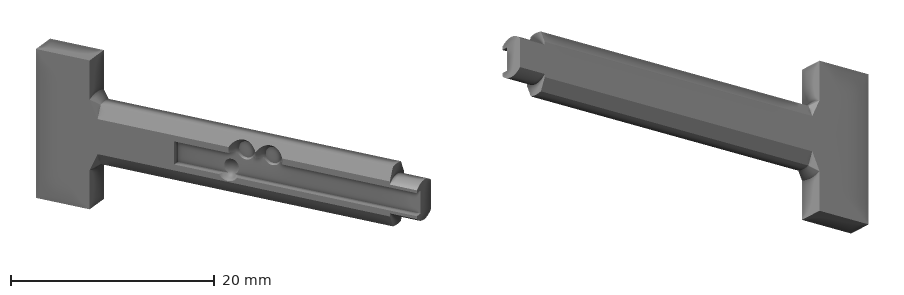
import cadquery as cq

total_length = 42.55
thickness = 2.95
head_height = 15.9
head_length = 6.0

shaft_radius = 3.28
flat_half_height = 1.87
slope_depth = 0.65

flare_length = 0.9
flare_height = 0.75
root_slope_depth = 0.01

spigot_length = 3.02
spigot_radius = 2.13

groove_start = 15.45
groove_half_height = 1.25
groove_depth = 0.75

recess_start = 23.05
recess_spacing = 3.0
recess_count = 2
recess_z = 1.58
recess_mouth_radius = 1.55
recess_floor_radius = 0.85
recess_depth = 1.0

dimple_x = 21.45
dimple_z = -0.5
dimple_radius = 1.28
dimple_lift = 0.2

half_thickness = thickness / 2
shoulder_x = total_length - spigot_length
flare_end_x = head_length + flare_length
slope_y = half_thickness - slope_depth


def height_on_circle(radius, y):
    return (radius**2 - y**2) ** 0.5


def shaft_section(x, crown_radius, flat_z, corner_y):
    """Closed outline at x: flat sides up to flat_z, slopes in to corner_y, round crowns."""
    corner_z = height_on_circle(crown_radius, corner_y)
    return (
        cq.Workplane("YZ", origin=(x, 0, 0))
        .moveTo(-half_thickness, -flat_z)
        .lineTo(-half_thickness, flat_z)
        .lineTo(-corner_y, corner_z)
        .threePointArc((0, crown_radius), (corner_y, corner_z))
        .lineTo(half_thickness, flat_z)
        .lineTo(half_thickness, -flat_z)
        .lineTo(corner_y, -corner_z)
        .threePointArc((0, -crown_radius), (-corner_y, -corner_z))
        .close()
    )


def make_head():
    return cq.Workplane("XY").box(head_length, thickness, head_height, centered=(False, True, True))


def make_shaft():
    section = shaft_section(flare_end_x, shaft_radius, flat_half_height, slope_y)
    return section.extrude(shoulder_x - flare_end_x)


def make_flare():
    """Ruled blend whose corner slopes vanish where it meets the head."""
    root_radius = shaft_radius + flare_height
    root_corner_y = half_thickness - root_slope_depth
    root_flat_z = height_on_circle(root_radius, half_thickness)
    root = shaft_section(head_length, root_radius, root_flat_z, root_corner_y)
    tip = shaft_section(flare_end_x, shaft_radius, flat_half_height, slope_y)
    return cq.Workplane(
        obj=cq.Solid.makeLoft([root.wire().val(), tip.wire().val()], True)
    )


def make_spigot():
    round_bar = (
        cq.Workplane("YZ", origin=(shoulder_x, 0, 0)).circle(spigot_radius).extrude(spigot_length)
    )
    slab = cq.Workplane("XY").box(2 * total_length, thickness, head_height)
    return round_bar.intersect(slab)


def make_groove():
    return cq.Workplane("XY").box(
        total_length - groove_start, groove_depth, 2 * groove_half_height, centered=(False, False, True)
    ).translate((groove_start, -half_thickness, 0))


def make_recess(x):
    cone = cq.Solid.makeCone(
        recess_mouth_radius,
        recess_floor_radius,
        recess_depth,
        pnt=cq.Vector(x, -half_thickness, recess_z),
        dir=cq.Vector(0, 1, 0),
    )
    return cq.Workplane(obj=cone)


def make_dimple():
    return cq.Workplane("XY").sphere(dimple_radius).translate(
        (dimple_x, -half_thickness - dimple_lift, dimple_z)
    )


result = make_head().union(make_flare()).union(make_shaft()).union(make_spigot())
result = result.cut(make_groove())
for index in range(recess_count):
    result = result.cut(make_recess(recess_start + index * recess_spacing))
result = result.cut(make_dimple())